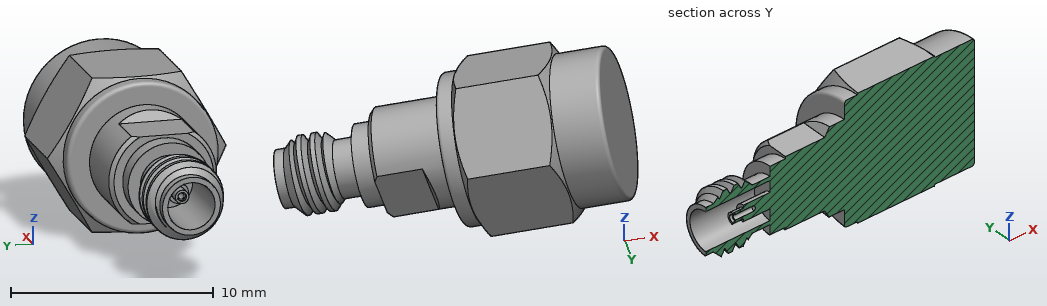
import cadquery as cq
import math


length = 17.21
thread_start = 0.5
thread_end = 3.0
collar_start = 4.11
body_start = 5.1
flat_end = 7.6
nut_start = 8.86
hex_start = 9.69
hex_end = 14.68

tube_radius = 1.48
collar_radius = 2.1
body_radius = 2.75
nut_radius = 3.87

edge_size = 0.2

hex_across_flats = 7.92
hex_corner_radius = hex_across_flats / math.sqrt(3)
hex_chamfer_angle = math.radians(30)

flat_half_height = 2.24
flat_ramp_angle = math.radians(60)

thread_radius = 2.0
thread_pitch = 0.7
groove_root_radius = 1.6
groove_half_angle = math.radians(30)
groove_start = 0.53
groove_turns = 3.5
groove_overcut = 0.1

bore_radius = 1.2
bore_depth = collar_start
contact_recess = 1.72
contact_radius = 0.52
contact_tip_radius = 0.35
contact_tip_length = 0.69
contact_entry_radius = 0.22
contact_entry_depth = 0.17
contact_hole_radius = 0.15
contact_hole_depth = 1.38
drill_point_half_angle = math.radians(59)


def revolve_profile(points):
    """Solid of revolution about X from (x, radius) points."""
    return cq.Workplane("XZ").polyline(points).close().revolve(360, (0, 0, 0), (1, 0, 0))


def cylinder(radius, start, end):
    """Cylinder on the X axis between two stations."""
    return revolve_profile([(start, 0), (start, radius), (end, radius), (end, 0)])


def threaded_ring():
    """Ring with 45 degree ends that run down to the tube, cut by the helical groove."""
    rise = thread_radius - tube_radius
    ring = revolve_profile([
        (thread_start, 0),
        (thread_start, tube_radius),
        (thread_start + rise, thread_radius),
        (thread_end - rise, thread_radius),
        (thread_end, tube_radius),
        (thread_end, 0),
    ])

    outer_radius = thread_radius + groove_overcut
    half_width = (outer_radius - groove_root_radius) * math.tan(groove_half_angle)
    helix = cq.Wire.makeHelix(thread_pitch, groove_turns * thread_pitch, groove_root_radius)
    groove = (
        cq.Workplane("XZ")
        .polyline([(groove_root_radius, 0), (outer_radius, half_width), (outer_radius, -half_width)])
        .close()
        .sweep(cq.Workplane(helix), isFrenet=True)
        .rotate((0, 0, 0), (0, 1, 0), 90)
        .translate((groove_start, 0, 0))
    )
    return ring.cut(groove)


def flatted_body():
    """Body cylinder with a chamfered front edge and two opposite wrench flats."""
    body = cylinder(body_radius, body_start, nut_start).faces("<X").chamfer(edge_size)
    ramp_length = (body_radius - flat_half_height) / math.tan(flat_ramp_angle)
    flat_cut = (
        cq.Workplane("XZ")
        .moveTo(body_start, flat_half_height)
        .lineTo(flat_end, flat_half_height)
        .lineTo(flat_end + ramp_length, body_radius)
        .lineTo(body_start, body_radius)
        .close()
        .extrude(body_radius, both=True)
    )
    return body.cut(flat_cut).cut(flat_cut.mirror("XY"))


def coupling_nut():
    """Round nut with filleted ends and a hexagon whose corners are chamfered at both ends."""
    barrel = cylinder(nut_radius, nut_start, length).faces("<X or >X").edges().fillet(edge_size)
    hexagon = (
        cq.Workplane("YZ")
        .workplane(offset=hex_start)
        .polygon(6, 2 * hex_corner_radius)
        .extrude(hex_end - hex_start)
    )
    chamfer_length = (hex_corner_radius - nut_radius) * math.tan(hex_chamfer_angle)
    corner_limit = revolve_profile([
        (hex_start, 0),
        (hex_start, nut_radius),
        (hex_start + chamfer_length, hex_corner_radius),
        (hex_end - chamfer_length, hex_corner_radius),
        (hex_end, nut_radius),
        (hex_end, 0),
    ])
    return barrel.union(hexagon.intersect(corner_limit))


def centre_contact():
    """Stepped contact pin with a drilled hole: a wider entry, a straight bore and a conical bottom."""
    shoulder = contact_recess + contact_tip_length
    entry_end = contact_recess + contact_entry_depth
    hole_end = contact_recess + contact_hole_depth
    drill_point = hole_end + contact_hole_radius / math.tan(drill_point_half_angle)
    return revolve_profile([
        (contact_recess, contact_entry_radius),
        (contact_recess, contact_tip_radius),
        (shoulder, contact_tip_radius),
        (shoulder, contact_radius),
        (bore_depth, contact_radius),
        (bore_depth, 0),
        (drill_point, 0),
        (hole_end, contact_hole_radius),
        (entry_end, contact_hole_radius),
        (entry_end, contact_entry_radius),
    ])


result = (
    cylinder(tube_radius, 0, collar_start)
    .union(threaded_ring())
    .union(cylinder(collar_radius, collar_start, body_start))
    .union(flatted_body())
    .union(coupling_nut())
    .cut(cylinder(bore_radius, 0, bore_depth))
    .union(centre_contact())
    .solids()
)